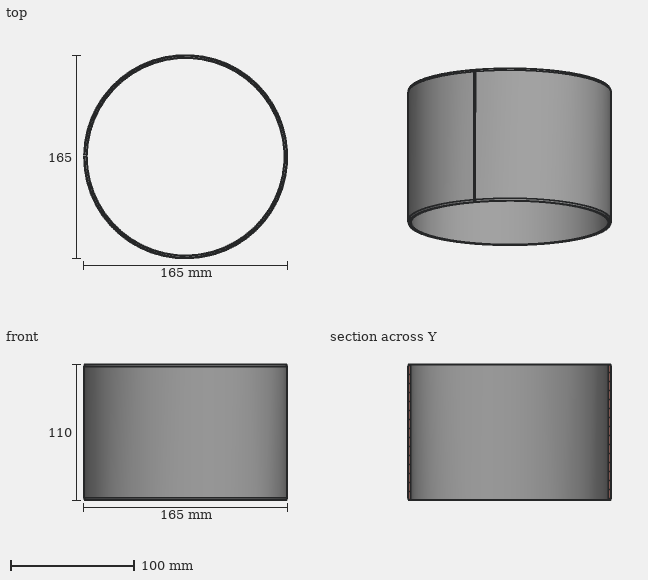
import cadquery as cq

outer_diameter = 165.0
wall = 2.5
length = 110.0
slit_angle = 1.0
outer_chamfer_height = 1.8
outer_chamfer_depth = 0.7
inner_chamfer = 0.3

outer_radius = outer_diameter / 2
inner_radius = outer_radius - wall
half_length = length / 2

wall_section = [
    (inner_radius, inner_chamfer - half_length),
    (inner_radius + inner_chamfer, -half_length),
    (outer_radius - outer_chamfer_depth, -half_length),
    (outer_radius, outer_chamfer_height - half_length),
    (outer_radius, half_length - outer_chamfer_height),
    (outer_radius - outer_chamfer_depth, half_length),
    (inner_radius + inner_chamfer, half_length),
    (inner_radius, half_length - inner_chamfer),
]

sleeve = cq.Workplane("XZ").polyline(wall_section).close().revolve(360 - slit_angle, (0, 0), (0, 1))

result = sleeve.rotate((0, 0, 0), (0, 0, 1), 180)